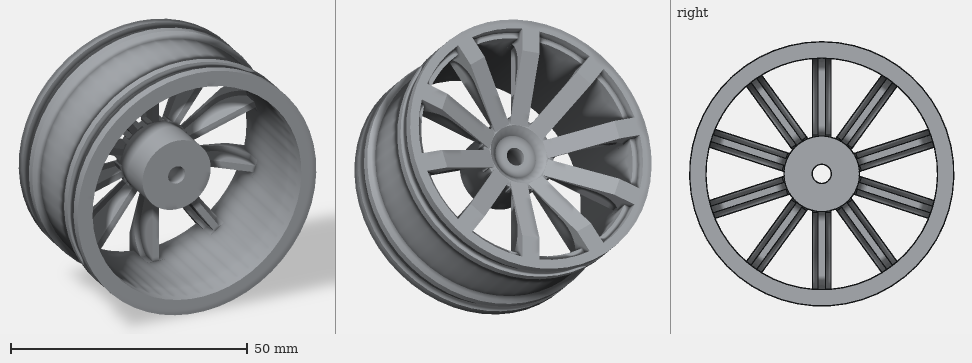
import cadquery as cq

width = 29.0
outer_radius = 28.0
groove_radius = 26.7
bore_radius = 24.5
lip_width = 2.0
groove_end = 5.0
bead_end = 6.7
well_start = 8.0

recess_mouth_radius = 26.0
recess_floor_radius = 25.7
recess_depth = 2.0

hub_radius = 8.0
hub_front = 6.3
hub_back = 19.0
dish_mouth_radius = 6.5
dish_floor_radius = 4.7
dish_depth = 1.7
axle_radius = 2.0

spoke_count = 10
spoke_width = 4.0
spoke_back = 8.75
spoke_bend_radius = 21.0
spoke_foot_radius = 6.5
spoke_slope = hub_front / (spoke_bend_radius - spoke_foot_radius)
spoke_root_radius = (dish_floor_radius + dish_mouth_radius) / 2
spoke_tip_radius = (recess_mouth_radius + groove_radius) / 2

web_thickness = 1.5
relief_inner_radius = 8.2
relief_inner_flange = 0.3
relief_bend_radius = 17.0
relief_bend_flange = 1.0
relief_outer_radius = 24.4
relief_outer_end = 5.5


def spoke_front(radius):
    """X of the sloping front of a spoke at a radius inside its bend."""
    return (spoke_bend_radius - radius) * spoke_slope


def make_rim():
    """Rim with a tyre groove and bead at each side and a tapered recess in the open face."""
    half_outline = [
        (0, outer_radius),
        (lip_width, outer_radius),
        (lip_width, groove_radius),
        (groove_end, groove_radius),
        (groove_end, outer_radius),
        (bead_end, outer_radius),
        (well_start, groove_radius),
    ]
    mirrored_outline = [(width - x, radius) for x, radius in reversed(half_outline)]
    inner_outline = [
        (width, bore_radius),
        (recess_depth, bore_radius),
        (recess_depth, recess_floor_radius),
        (0, recess_mouth_radius),
    ]
    outline = half_outline + mirrored_outline + inner_outline
    return cq.Workplane("XZ").polyline(outline).close().revolve(360, (0, 0), (1, 0))


def make_hub():
    """Plain round hub carrying the spokes near its front end."""
    return cq.Workplane("YZ", origin=(hub_front, 0, 0)).circle(hub_radius).extrude(hub_back - hub_front)


def make_spoke():
    """Spoke along +Z: a full-width bar with both flanks relieved down to the web."""
    bar = (
        cq.Workplane("XZ")
        .polyline([
            (0, spoke_tip_radius),
            (0, spoke_bend_radius),
            (hub_front, spoke_foot_radius),
            (hub_front, spoke_root_radius),
            (spoke_back, spoke_root_radius),
            (spoke_back, spoke_tip_radius),
        ])
        .close()
        .extrude(spoke_width / 2, both=True)
    )
    relief = (
        cq.Workplane("XZ")
        .moveTo(spoke_back, relief_inner_radius)
        .lineTo(spoke_front(relief_inner_radius) + relief_inner_flange, relief_inner_radius)
        .lineTo(spoke_front(relief_bend_radius) + relief_bend_flange, relief_bend_radius)
        .tangentArcPoint((relief_outer_end, relief_outer_radius), relative=False)
        .lineTo(spoke_back, relief_outer_radius)
        .close()
        .extrude(spoke_width, both=True)
    )
    web = cq.Workplane("XY").box(2 * width, web_thickness, 2 * outer_radius)
    return bar.cut(relief.cut(web))


def make_dish():
    """Conical hollow in the front face of the hub."""
    mouth_center = cq.Vector(hub_front, 0, 0)
    axis = cq.Vector(1, 0, 0)
    cone = cq.Solid.makeCone(dish_mouth_radius, dish_floor_radius, dish_depth, mouth_center, axis)
    return cq.Workplane("XY").add(cone)


def make_axle_hole():
    """Bore through the whole hub."""
    return cq.Workplane("YZ").circle(axle_radius).extrude(width)


result = make_rim().union(make_hub())
spoke = make_spoke()
for index in range(spoke_count):
    result = result.union(spoke.rotate((0, 0, 0), (1, 0, 0), index * 360 / spoke_count))
result = result.cut(make_dish()).cut(make_axle_hole())